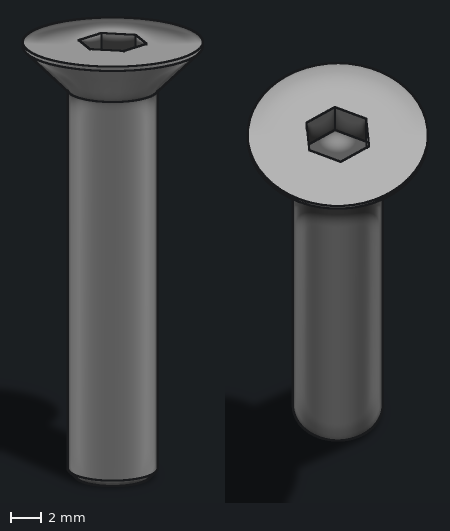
import cadquery as cq
import math

length = 30.0
head_radius = 6.0
shank_radius = 3.0
rim_height = 0.3
cone_height = head_radius - shank_radius
tip_chamfer = 0.55
socket_width = 4.0
socket_depth = 2.5


def screw_body():
    """Revolve the half profile of head, shank and chamfered tip."""
    rim_bottom = length - rim_height
    return (
        cq.Workplane("XZ")
        .moveTo(0, 0)
        .lineTo(shank_radius - tip_chamfer, 0)
        .lineTo(shank_radius, tip_chamfer)
        .lineTo(shank_radius, rim_bottom - cone_height)
        .lineTo(head_radius, rim_bottom)
        .lineTo(head_radius, length)
        .lineTo(0, length)
        .close()
        .revolve(360, (0, 0, 0), (0, 1, 0))
    )


def hex_socket():
    """Flat-bottomed hexagonal prism with two corners on the Y axis."""
    across_corners = socket_width / math.cos(math.pi / 6)
    return (
        cq.Workplane("XY")
        .workplane(offset=length - socket_depth)
        .transformed(rotate=(0, 0, 90))
        .polygon(6, across_corners)
        .extrude(socket_depth)
    )


result = screw_body().cut(hex_socket())